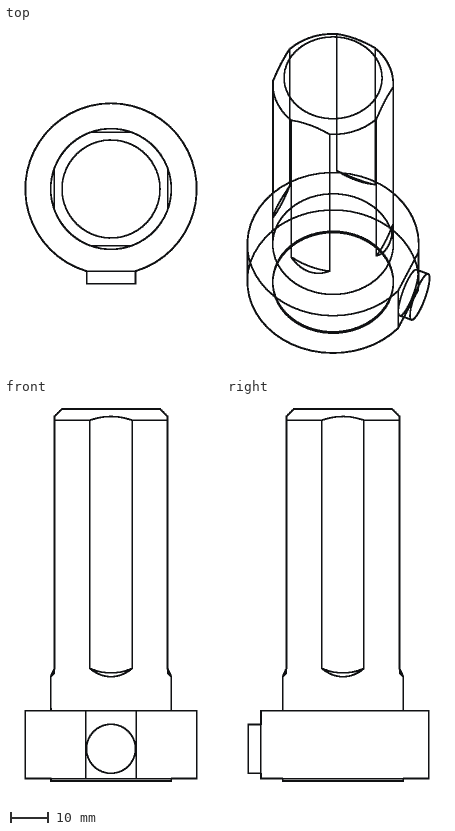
import cadquery as cq

flange_diameter = 45.5
flange_height = 18.0
boss_diameter = 31.98
boss_height = 0.65

shank_diameter = 32.0
shank_length = 80.0
shank_chamfer = 3.0

flat_count = 4
across_flats = 30.0
flat_end_above_flange = 10.0
runout_radius = 13.5

pin_diameter = 13.0
pin_center_height = 8.55
pin_seat_distance = 21.75
pin_end_distance = 25.12

flange_bottom = boss_height
flange_top = flange_bottom + flange_height
shank_top = flange_top + shank_length


def cylinder(diameter, bottom, height):
    """Vertical cylinder on the Z axis."""
    return cq.Workplane("XY").workplane(offset=bottom).circle(diameter / 2).extrude(height)


def make_shank():
    """Round shank with a chamfered top end."""
    shank = cylinder(shank_diameter, flange_top, shank_length)
    return shank.faces(">Z").chamfer(shank_chamfer)


def flat_cutter():
    """Cutter for the flat facing -Y: a conical end with 45 degree walls, swept up past the top."""
    flat_distance = across_flats / 2
    cut_depth = shank_diameter / 2
    outer_radius = runout_radius + cut_depth
    end_center_height = flange_top + flat_end_above_flange + runout_radius
    end = (
        cq.Workplane("XZ", origin=(0, -flat_distance, end_center_height))
        .circle(runout_radius)
        .workplane(offset=cut_depth)
        .circle(outer_radius)
        .loft(combine=True)
    )
    straight = cq.Workplane("XY").box(
        2 * runout_radius,
        cut_depth,
        shank_top - end_center_height,
        centered=(True, False, False),
    )
    straight = straight.translate((0, -flat_distance - cut_depth, end_center_height))
    return end.union(straight)


def cut_flats(shank):
    """Mill the flats evenly around the shank."""
    cutter = flat_cutter()
    for index in range(flat_count):
        angle = index * 360 / flat_count
        shank = shank.cut(cutter.rotate((0, 0, 0), (0, 0, 1), angle))
    return shank


def make_flange():
    """Round flange with a pin seat milled flat on its -Y side."""
    flange = cylinder(flange_diameter, flange_bottom, flange_height)
    seat_cut = cq.Workplane("XY").box(
        flange_diameter,
        flange_diameter,
        flange_height,
        centered=(True, False, False),
    )
    return flange.cut(seat_cut.translate((0, -pin_seat_distance - flange_diameter, flange_bottom)))


def make_pin():
    """Short round pin pointing to -Y, rooted at the flange axis."""
    return (
        cq.Workplane("XZ", origin=(0, 0, pin_center_height))
        .circle(pin_diameter / 2)
        .extrude(pin_end_distance)
    )


boss = cylinder(boss_diameter, 0, boss_height)
result = make_flange().union(boss).union(cut_flats(make_shank())).union(make_pin())